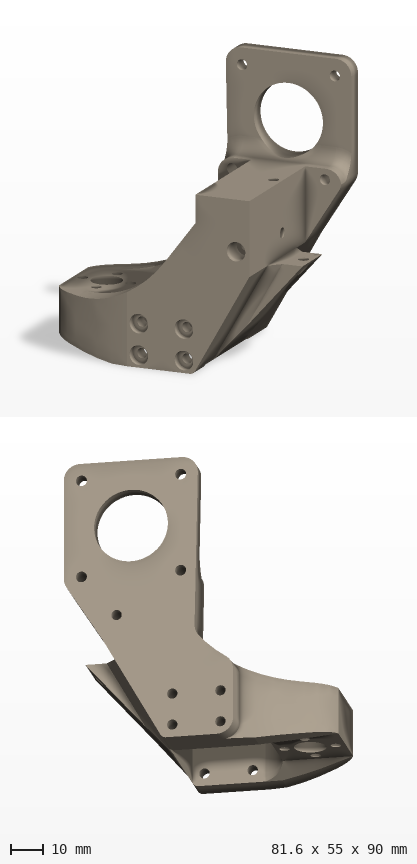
import cadquery as cq
import math


length = 81.6
width = 55.0
height = 90.0
corner_radius = 5.0

arm_thickness = 7.6
plate_thickness = 5.0
plate_front = width - plate_thickness
arm_inner = plate_front - arm_thickness
fork_middle = plate_front / 2

tip_top = 18.7
tip_bottom = 4.05
tip_length = 22.0
tip_half_width = 11.0
nose_y = fork_middle - tip_half_width
bottom_start = 23.4
bottom_sag = 0.3
arc_start = 9.9
arc_radius = 39.2
arm_slope = math.radians(52.9)
wall_front = 51.6
wall_back = 69.6
wall_top = 57.1
slope_top = 32.9
wall_foot = 1.2
foot_radius = 2.0
slope_ratio = (slope_top - wall_foot) / (wall_back - wall_front)
foot_end = wall_front - wall_foot / slope_ratio

arc_end_x = arc_start + arc_radius * math.sin(arm_slope)
arc_end_z = tip_top + arc_radius * (1 - math.cos(arm_slope))
arc_mid_x = arc_start + arc_radius * math.sin(arm_slope / 2)
arc_mid_z = tip_top + arc_radius * (1 - math.cos(arm_slope / 2))
arm_top = arc_end_z + (wall_front - arc_end_x) * math.tan(arm_slope)

straight_start = 28.8
nose_shoulder = (2.2, 10.7)
nose_bulge = (9.0, 6.0)
side_bulge = (17.8, 2.25)
throat_bulge = (24.8, 9.6)
cove_radius = 4.2

plate_left_top = 39.7
plate_left_bottom = 40.9
plate_left_foot = 33.8
plate_right_foot = 51.8
plate_end_front = 27.7
plate_end_back = 28.8
step_radius = 4.95
bore_diameter = 23.0
bore_z = 69.0
bolt_spacing = 31.0
bore_to_right_edge = 21.0
bore_x = length - bore_to_right_edge

tab_end = 79.65
tab_half_width = 7.5
tab_flare = 3.4
tab_hole_x = 76.7

screw_diameter = 3.4
small_screw_diameter = 3.2
head_diameter = 6.2
head_depth = 2.5
deep_head_depth = 7.6
arm_screw_x = 32.8
arm_screw_z = 4.0
arm_screw_pitch_x = 15.0
arm_screw_pitch_z = 10.0
wall_screw_x = 65.2
wall_screw_z = 40.5
wall_bore_x = 66.7
wall_bore_depth = 10.0
tip_bore_diameter = 10.0
tip_bore_x = 11.1
tip_screw_radius = 8.0

margin = 4.5


def near_line_along_y(x, z):
    """Selector for edges whose middle lies within one unit of the line at (x, z) parallel to Y."""
    return cq.selectors.BoxSelector((x - 0.9, -0.9, z - 0.9), (x + 0.9, width + 0.9, z + 0.9))


def along_y(profile, y_start, y_end):
    """Extrude a closed XZ profile between two Y positions."""
    return profile.extrude(-(y_end - y_start)).translate((0, y_start, 0))


def cylinder(diameter, start, direction, depth):
    """Round cutter from a start point along a direction."""
    solid = cq.Solid.makeCylinder(diameter / 2, depth, cq.Vector(*start), cq.Vector(*direction))
    return cq.Workplane(solid)


def box(x_range, y_range, z_range):
    """Axis-aligned box between three coordinate ranges."""
    sizes = [end - start for start, end in (x_range, y_range, z_range)]
    corner = cq.Vector(x_range[0], y_range[0], z_range[0])
    return cq.Workplane(cq.Solid.makeBox(*sizes, corner))


def mirrored(point):
    """Plan point reflected across the middle of the fork."""
    return (point[0], plate_front - point[1])


def side_profile():
    """Side outline shared by the fork arms, the tip and the cross wall."""
    bottom_mid = (bottom_start / 2, tip_bottom / 2 - bottom_sag)
    return (
        cq.Workplane("XZ")
        .moveTo(0, tip_bottom)
        .threePointArc(bottom_mid, (bottom_start, 0))
        .lineTo(foot_end, 0)
        .lineTo(wall_back, slope_top)
        .lineTo(wall_back, wall_top)
        .lineTo(wall_front, wall_top)
        .lineTo(wall_front, arm_top)
        .lineTo(arc_end_x, arc_end_z)
        .threePointArc((arc_mid_x, arc_mid_z), (arc_start, tip_top))
        .lineTo(0, tip_top)
        .close()
    )


def body_slab(y_start, y_end):
    """Side outline given thickness, with the bottom rear corner rounded."""
    slab = along_y(side_profile(), y_start, y_end)
    return slab.edges("|Y").edges(near_line_along_y(foot_end, 0)).fillet(foot_radius)


def fork_plan():
    """Plan outline of the fork, rounded in towards the tip on both sides."""
    curve = [(0, nose_y), nose_shoulder, nose_bulge, side_bulge, (straight_start, 0)]
    far_curve = [mirrored(point) for point in reversed(curve)]
    return (
        cq.Workplane("XY")
        .spline(curve)
        .lineTo(length, 0)
        .lineTo(length, plate_front)
        .lineTo(straight_start, plate_front)
        .spline(far_curve, includeCurrent=False)
        .close()
        .extrude(height)
    )


def fork_opening():
    """Space between the arms, from the tip block back to the cross wall."""
    well = (
        cq.Workplane("XY")
        .moveTo(tip_length, nose_y)
        .threePointArc(throat_bulge, (straight_start, arm_thickness))
        .lineTo(wall_front, arm_thickness)
        .lineTo(wall_front, arm_inner)
        .lineTo(straight_start, arm_inner)
        .threePointArc(mirrored(throat_bulge), mirrored((tip_length, nose_y)))
        .close()
        .extrude(height)
    )
    above_tip = box((-margin, wall_front), (arm_thickness, arm_inner), (tip_top, height))
    return well.union(above_tip.edges("|X and <Z").fillet(cove_radius))


def tip_underside():
    """Flat-roofed recess under the tip block, flaring out to the arms."""
    return (
        cq.Workplane("YZ")
        .polyline([
            (arm_thickness, 0),
            (nose_y, tip_bottom),
            (plate_front - nose_y, tip_bottom),
            (arm_inner, 0),
        ])
        .close()
        .extrude(straight_start)
    )


def plate_silhouette():
    """Motor plate outline through the full depth of the thick lower pad."""
    plate = along_y(
        cq.Workplane("XZ").polyline([
            (plate_left_bottom, plate_left_foot),
            (plate_left_top, height),
            (length, height),
            (length, plate_right_foot),
            (wall_back, slope_top),
            (wall_front, wall_foot),
        ]).close(),
        arm_inner,
        width,
    )
    plate = plate.edges("|Y and >Z").fillet(corner_radius)
    right_foot = near_line_along_y(length, plate_right_foot)
    return plate.edges("|Y").edges(right_foot).fillet(corner_radius)


def motor_plate():
    """Thin plate rising from a thicker pad, blended by a concave fillet round the pad corners."""
    lean = (plate_left_bottom - plate_left_top) / (height - plate_left_foot)
    pad_left_top = plate_left_bottom - lean * (wall_top - plate_left_foot)
    pad_left_bottom = plate_left_bottom + lean * plate_left_foot
    sheet = box((0, length + 4 * margin), (plate_front, width), (0, height + margin))
    pad = along_y(
        cq.Workplane("XZ")
        .polyline([(pad_left_bottom, 0), (pad_left_top, wall_top), (length, wall_top), (length, 0)])
        .close(),
        arm_inner,
        plate_front,
    )
    pad = pad.edges("|Y and >Z").fillet(corner_radius)
    ledge = cq.selectors.BoxSelector(
        (wall_front, plate_front - 0.9, wall_top - 0.9), (wall_back, plate_front + 0.9, wall_top + 0.9)
    )
    stepped = sheet.union(pad).edges(ledge).fillet(step_radius)
    return stepped.intersect(plate_silhouette())


def arm_backing():
    """Plate-thick layer behind the rear arm, with a slanted and rounded free end."""
    layer = body_slab(plate_front, width)
    keep = (
        cq.Workplane("XY")
        .polyline([
            (plate_end_front, plate_front),
            (plate_end_back, width),
            (length, width),
            (length, plate_front),
        ])
        .close()
        .extrude(height)
    )
    backing = layer.intersect(keep)
    return backing.faces("<X").edges("<Z or >Z").fillet(corner_radius)


def rear_tab():
    """Wedge tab behind the wall, flared where it meets the sloping face."""
    corners = [(wall_front, wall_foot), (wall_back, slope_top), (tab_end, slope_top)]
    side = along_y(cq.Workplane("XZ").polyline(corners).close(), 0, width)
    root = tab_half_width + tab_flare
    half_section = [(0, root), (tab_flare, tab_half_width), (length, tab_half_width)]
    section = half_section + [(x, -y) for x, y in reversed(half_section)]
    points = [(wall_front + x, fork_middle + y) for x, y in section]
    bottom = cq.Wire.makePolygon([cq.Vector(x, y, wall_foot) for x, y in points], close=True)
    sweep = cq.Vector(wall_back - wall_front, 0, slope_top - wall_foot)
    flared = cq.Workplane(cq.Solid.extrudeLinear(bottom, [], sweep))
    return side.intersect(flared)


def drill_arm_screws(part):
    """Four counterbored screws through both arms and one along the wall."""
    spots = [
        (arm_screw_x + i * arm_screw_pitch_x, arm_screw_z + j * arm_screw_pitch_z, head_depth)
        for i in range(2) for j in range(2)
    ]
    spots.append((wall_screw_x, wall_screw_z, deep_head_depth))
    for x, z, depth in spots:
        part = part.cut(cylinder(small_screw_diameter, (x, 0, z), (0, 1, 0), width))
        part = part.cut(cylinder(head_diameter, (x, 0, z), (0, 1, 0), depth))
    return part


def drill_wall(part):
    """Counterbored hole through the wall and a blind hole in its top."""
    front = (wall_front, fork_middle, wall_screw_z)
    part = part.cut(cylinder(screw_diameter, front, (1, 0, 0), length))
    part = part.cut(cylinder(head_diameter, front, (1, 0, 0), head_depth))
    top = (wall_bore_x, fork_middle, wall_top)
    return part.cut(cylinder(screw_diameter, top, (0, 0, -1), wall_bore_depth))


def drill_tip(part):
    """Central bore and four screws on a circle through the tip block."""
    part = part.cut(cylinder(tip_bore_diameter, (tip_bore_x, fork_middle, 0), (0, 0, 1), height))
    for i in range(4):
        x = tip_bore_x + tip_screw_radius * math.cos(i * math.pi / 2)
        y = fork_middle + tip_screw_radius * math.sin(i * math.pi / 2)
        part = part.cut(cylinder(small_screw_diameter, (x, y, 0), (0, 0, 1), height))
    return part


def drill_plate(part):
    """Motor bore and its four screw holes."""
    part = part.cut(cylinder(bore_diameter, (bore_x, 0, bore_z), (0, 1, 0), width))
    for side_x in (-1, 1):
        for side_z in (-1, 1):
            x = bore_x + side_x * bolt_spacing / 2
            z = bore_z + side_z * bolt_spacing / 2
            part = part.cut(cylinder(screw_diameter, (x, 0, z), (0, 1, 0), width))
    return part


def drill_tab(part):
    """Vertical hole through the rear tab."""
    return part.cut(cylinder(screw_diameter, (tab_hole_x, fork_middle, 0), (0, 0, 1), slope_top))


fork = body_slab(0, plate_front).intersect(fork_plan()).cut(tip_underside())
part = fork.union(arm_backing()).union(motor_plate()).cut(fork_opening())
plate_root = near_line_along_y(plate_left_bottom, plate_left_foot)
part = part.edges("|Y").edges(plate_root).fillet(corner_radius)
part = part.union(rear_tab())
for drill in (drill_arm_screws, drill_wall, drill_tip, drill_plate, drill_tab):
    part = drill(part)
result = part